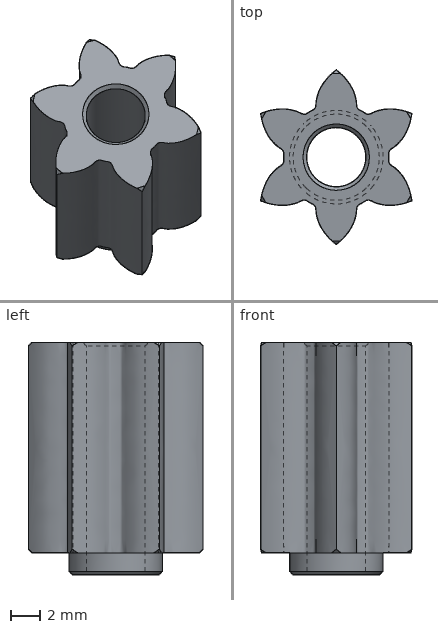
import cadquery as cq
import math

tooth_count = 6
tip_radius = 5.935
base_radius = 3.64
root_radius = 3.58
tip_chamfer = 0.25

hub_radius = 3.175
hub_length = 1.5
hub_chamfer = 0.25
total_length = 15.79
gear_length = total_length - hub_length

bore_radius = 2.0
bore_chamfer = 0.25

flank_points = 7
lowest_roll = 0.3
floor_share = 0.6

tooth_pitch = 2 * math.pi / tooth_count


def polar(radius, angle):
    return (radius * math.cos(angle), radius * math.sin(angle))


def involute_angle(roll):
    """Polar angle swept by an involute that has unrolled by `roll` radians."""
    return roll - math.atan(roll)


tip_roll = math.sqrt((tip_radius / base_radius) ** 2 - 1)
base_half_angle = involute_angle(tip_roll)
gap_half_angle = tooth_pitch / 2 - base_half_angle


def gap_points(gap_angle):
    """Points from tip to tip across the gap centred at `gap_angle`, counter-clockwise."""
    flank = []
    for i in range(flank_points):
        roll = lowest_roll + (tip_roll - lowest_roll) * i / (flank_points - 1)
        radius = base_radius * math.sqrt(1 + roll ** 2)
        flank.append((radius, gap_half_angle + involute_angle(roll)))
    floor_half_angle = floor_share * gap_half_angle

    falling = [polar(radius, gap_angle - offset) for radius, offset in reversed(flank)]
    floor = [polar(root_radius, gap_angle + offset) for offset in (-floor_half_angle, 0, floor_half_angle)]
    rising = [polar(radius, gap_angle + offset) for radius, offset in flank]
    return falling + floor + rising


def toothed_body():
    """Gear teeth with rounded gaps, standing on top of the hub."""
    first_tip_angle = math.pi / 2
    outline = cq.Workplane("XY").workplane(offset=hub_length)
    outline = outline.moveTo(*polar(tip_radius, first_tip_angle))
    for i in range(tooth_count):
        gap_angle = first_tip_angle + (i + 0.5) * tooth_pitch
        outline = outline.spline(gap_points(gap_angle)[1:], includeCurrent=True)
    return outline.close().extrude(gear_length)


def tip_envelope():
    """Turned blank whose chamfered rims bevel the tooth tips at both ends."""
    blank = cq.Workplane("XY").workplane(offset=hub_length).circle(tip_radius).extrude(gear_length)
    return blank.faces("<Z or >Z").chamfer(tip_chamfer)


def hub():
    """Round hub below the teeth, chamfered at its free end."""
    return cq.Workplane("XY").circle(hub_radius).extrude(hub_length).faces("<Z").chamfer(hub_chamfer)


gear = toothed_body().intersect(tip_envelope()).union(hub())

bore = cq.Workplane("XY").circle(bore_radius).extrude(total_length)
countersink = (
    cq.Workplane("XY")
    .workplane(offset=total_length)
    .circle(bore_radius + bore_chamfer)
    .workplane(offset=-bore_chamfer)
    .circle(bore_radius)
    .loft()
)
result = gear.cut(bore).cut(countersink)